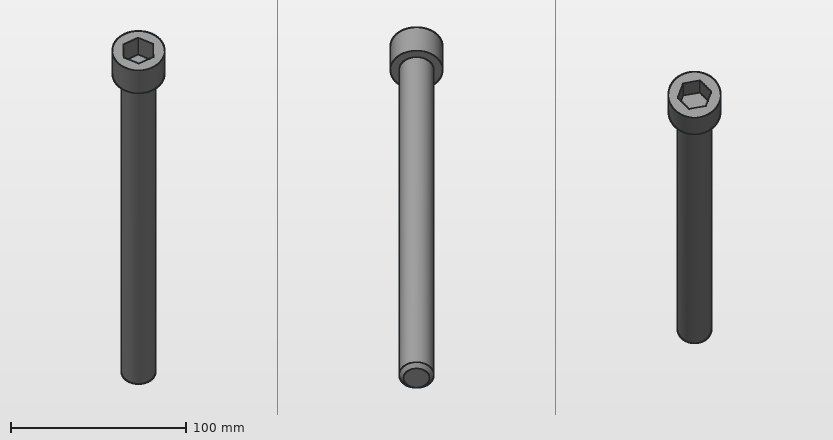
import cadquery as cq

total_length = 280.0
head_diameter = 30.0
head_height = 20.0
shank_diameter = 20.0
shank_length = total_length - head_height

tip_chamfer_height = 2.5
tip_chamfer_width = 2.5

socket_across_corners = 19.5
socket_depth = 14.5


def make_shank():
    """Plain shank ending in a chamfered tip."""
    shank_radius = shank_diameter / 2
    tip_radius = shank_radius - tip_chamfer_width
    profile = [
        (0, 0),
        (shank_radius, 0),
        (shank_radius, tip_chamfer_height - shank_length),
        (tip_radius, -shank_length),
        (0, -shank_length),
    ]
    return cq.Workplane("XZ").polyline(profile).close().revolve(360, (0, 0), (0, 1))


def make_head():
    """Cylindrical head with the hexagonal socket sunk into its top."""
    head = cq.Workplane("XY").circle(head_diameter / 2).extrude(head_height)
    socket = (
        cq.Workplane("XY", origin=(0, 0, head_height))
        .polygon(6, socket_across_corners)
        .extrude(-socket_depth)
    )
    return head.cut(socket)


result = make_head().union(make_shank())